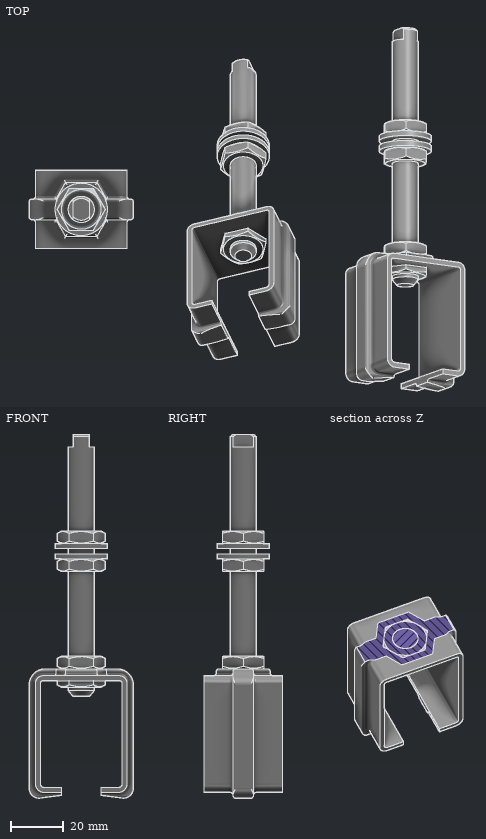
import cadquery as cq
import math


ROD_DIAMETER = 10.0
ROD_TOP_Z = 139.2
ROD_BOTTOM_Z = 39.0
ROD_TOP_CHAMFER = 0.8
ROD_POINT_DIAMETER = 6.4
ROD_POINT_HEIGHT = 2.2
FLAT_THICKNESS = 6.3
FLAT_LENGTH = 4.7

NUT_ACROSS_FLATS = 16.0
NUT_HEIGHT = 4.9
NUT_FACE_DIAMETER = 15.2
NUT_CHAMFER_ANGLE = 30.0
WASHER_DIAMETER = 20.0
WASHER_THICKNESS = 2.0
WASHER_GAP = 2.0
WASHER_STACK_Z = 94.5

SHEET = 2.0
CHANNEL_WIDTH = 35.1
CHANNEL_LENGTH = 30.0
CHANNEL_BOTTOM_Z = 2.2
CHANNEL_TOP_Z = 46.9
CHANNEL_TOP_INNER_RADIUS = 1.0
CHANNEL_BOTTOM_INNER_RADIUS = 1.4
SLOT_WIDTH = 15.0

RIB_SPAN = 40.0
RIB_TOP_Z = 49.5
RIB_WIDTH = 8.0
RIB_TOP_CORNER_RADIUS = 6.3
RIB_BOTTOM_CORNER_RADIUS = 3.9
RIB_LIP_Z = 1.1
SEAT_ACROSS_FLATS = 20.7
SEAT_ROOF = 2.2
EDGE_RADIUS = 1.1
FOOT_RADIUS = 1.05

CAVITY_BOTTOM_Z = CHANNEL_BOTTOM_Z + SHEET
CAVITY_TOP_Z = CHANNEL_TOP_Z - SHEET

UPPER_WASHER_Z = WASHER_STACK_Z + WASHER_GAP / 2
LOWER_WASHER_Z = WASHER_STACK_Z - WASHER_GAP / 2 - WASHER_THICKNESS
WASHER_BOTTOMS = [UPPER_WASHER_Z, LOWER_WASHER_Z]

RECESSED_NUT_Z = RIB_TOP_Z - SEAT_ROOF - NUT_HEIGHT
NUT_BOTTOMS = [
    UPPER_WASHER_Z + WASHER_THICKNESS,
    LOWER_WASHER_Z - NUT_HEIGHT,
    RIB_TOP_Z,
    RECESSED_NUT_Z,
]

TOUCHING = 0.001


def hex_prism(across_flats, bottom_z, height):
    """Hexagonal prism on the Z axis with two corners on the X axis."""
    across_corners = across_flats / math.cos(math.pi / 6)
    return cq.Workplane("XY").workplane(offset=bottom_z).polygon(6, across_corners).extrude(height)


def block(width, length, bottom_z, top_z):
    """Box centred on the Z axis."""
    return cq.Workplane("XY").workplane(offset=bottom_z).rect(width, length).extrude(top_z - bottom_z)


def round_along_y(box, top_radius, bottom_radius):
    """Rounds the four edges of a box that run along Y."""
    return box.edges("|Y and >Z").fillet(top_radius).edges("|Y and <Z").fillet(bottom_radius)


def cylinder(diameter, bottom_z, top_z):
    """Cylinder on the Z axis."""
    return cq.Workplane("XY").workplane(offset=bottom_z).circle(diameter / 2).extrude(top_z - bottom_z)


def make_rod():
    """Rod with a pointed lower end and two flats at the chamfered top."""
    radius = ROD_DIAMETER / 2
    rod = (
        cq.Workplane("XZ")
        .moveTo(0, ROD_BOTTOM_Z)
        .lineTo(ROD_POINT_DIAMETER / 2, ROD_BOTTOM_Z)
        .lineTo(radius, ROD_BOTTOM_Z + ROD_POINT_HEIGHT)
        .lineTo(radius, ROD_TOP_Z - ROD_TOP_CHAMFER)
        .lineTo(radius - ROD_TOP_CHAMFER, ROD_TOP_Z)
        .lineTo(0, ROD_TOP_Z)
        .close()
        .revolve(360, (0, 0), (0, 1))
    )
    tip_bottom = ROD_TOP_Z - FLAT_LENGTH
    tip = block(ROD_DIAMETER, ROD_DIAMETER, tip_bottom, ROD_TOP_Z)
    tongue = block(FLAT_THICKNESS, ROD_DIAMETER, tip_bottom, ROD_TOP_Z)
    return rod.cut(tip.cut(tongue))


def make_nut(bottom_z):
    """Hex nut with its corners turned to a cone at both ends."""
    corner_radius = NUT_ACROSS_FLATS / math.cos(math.pi / 6) / 2
    face_radius = NUT_FACE_DIAMETER / 2
    drop = (corner_radius - face_radius) * math.tan(math.radians(NUT_CHAMFER_ANGLE))
    turned = (
        cq.Workplane("XZ")
        .moveTo(ROD_DIAMETER / 2, bottom_z)
        .lineTo(face_radius, bottom_z)
        .lineTo(corner_radius, bottom_z + drop)
        .lineTo(corner_radius, bottom_z + NUT_HEIGHT - drop)
        .lineTo(face_radius, bottom_z + NUT_HEIGHT)
        .lineTo(ROD_DIAMETER / 2, bottom_z + NUT_HEIGHT)
        .close()
        .revolve(360, (0, 0), (0, 1))
    )
    return hex_prism(NUT_ACROSS_FLATS, bottom_z, NUT_HEIGHT).intersect(turned)


def make_washer(bottom_z):
    """Plain ring around the rod."""
    top_z = bottom_z + WASHER_THICKNESS
    return cylinder(WASHER_DIAMETER, bottom_z, top_z).cut(cylinder(ROD_DIAMETER, bottom_z, top_z))


def cut_slot(body):
    """Opens the underside between the two lips."""
    return body.cut(block(SLOT_WIDTH, CHANNEL_LENGTH, 0, CAVITY_BOTTOM_Z))


def make_channel_outside():
    """Outside of the channel, still filled in."""
    outside = block(CHANNEL_WIDTH, CHANNEL_LENGTH, CHANNEL_BOTTOM_Z, CHANNEL_TOP_Z)
    return round_along_y(outside, CHANNEL_TOP_INNER_RADIUS + SHEET, CHANNEL_BOTTOM_INNER_RADIUS + SHEET)


def make_cavity():
    """Space inside the channel, open at both ends."""
    cavity = block(CHANNEL_WIDTH - 2 * SHEET, CHANNEL_LENGTH, CAVITY_BOTTOM_Z, CAVITY_TOP_Z)
    return round_along_y(cavity, CHANNEL_TOP_INNER_RADIUS, CHANNEL_BOTTOM_INNER_RADIUS)


def make_rib():
    """Square-cornered band around the outside of the channel, still filled in, with rounded edges."""
    rib = block(RIB_SPAN, RIB_WIDTH, 0, RIB_TOP_Z)
    return rib.faces("<Y or >Y").edges().fillet(EDGE_RADIUS)


def make_seat():
    """Hexagonal boss on top of the channel."""
    seat = hex_prism(SEAT_ACROSS_FLATS, CAVITY_TOP_Z, RIB_TOP_Z - CAVITY_TOP_Z)
    return seat.faces(">Z").edges().fillet(EDGE_RADIUS)


def fillet_feet(body, channel, stiffening):
    """Rounds the edges of the body that lie on both the channel and its stiffening."""
    feet = []
    for edge in body.edges().vals():
        middle = cq.Vertex.makeVertex(*edge.positionAt(0.5).toTuple())
        if max(middle.distance(channel.val()), middle.distance(stiffening.val())) < TOUCHING:
            feet.append(edge)
    return body.newObject(feet).fillet(FOOT_RADIUS)


def make_rib_trimming():
    """Material removed around the rib: its outer corners, and a taper rising to the slot on each lip."""
    square = block(RIB_SPAN, RIB_WIDTH, 0, RIB_TOP_Z)
    rounded = round_along_y(square, RIB_TOP_CORNER_RADIUS, RIB_BOTTOM_CORNER_RADIUS)
    inner_x = SLOT_WIDTH / 2
    outer_x = RIB_SPAN / 2 - RIB_BOTTOM_CORNER_RADIUS
    taper = (
        cq.Workplane("XZ")
        .moveTo(outer_x, 0)
        .lineTo(inner_x, 0)
        .lineTo(inner_x, RIB_LIP_Z)
        .close()
        .extrude(RIB_WIDTH / 2, both=True)
    )
    return square.cut(rounded).union(taper).union(taper.mirror("YZ"))


def make_bracket():
    """Channel with its rib and seat, recessed for the nut inside and bored for the rod."""
    channel = make_channel_outside()
    stiffening = make_rib().union(make_seat())
    bracket = fillet_feet(channel.union(stiffening), channel, stiffening)
    bracket = cut_slot(bracket.cut(make_cavity())).cut(make_rib_trimming())
    nut_recess = hex_prism(NUT_ACROSS_FLATS, RECESSED_NUT_Z, NUT_HEIGHT)
    rod_hole = cylinder(ROD_DIAMETER, CAVITY_TOP_Z, RIB_TOP_Z)
    return bracket.cut(nut_recess).cut(rod_hole)


rod = make_rod()
bracket = make_bracket()
washers = [make_washer(z) for z in WASHER_BOTTOMS]
nuts = [make_nut(z) for z in NUT_BOTTOMS]

result = cq.Compound.makeCompound(
    [rod.val(), bracket.val(), *[washer.val() for washer in washers], *[nut.val() for nut in nuts]]
)